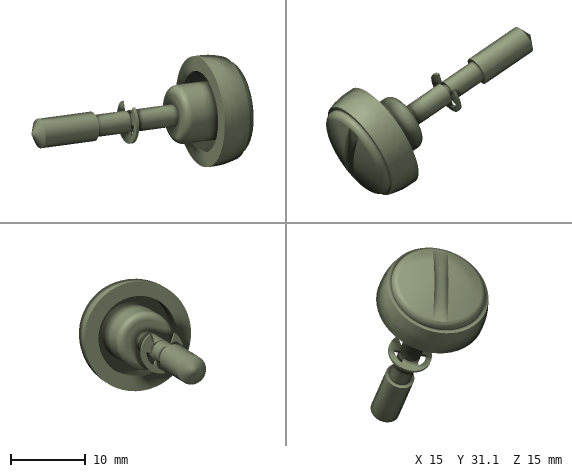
import cadquery as cq
import math

OVERALL_LENGTH = 31.13

RIM_RADIUS = 7.5
RIM_WIDTH = 1.0
SKIRT_TOP_Y = 4.0
SKIRT_SAG = 0.5
CAP_RADIUS = 6.5
CAP_EDGE_RADIUS = 1.0
DOME_RADIUS = 20.0
KNOB_TOP_Y = 5.98
SLOT_WIDTH = 2.0
SLOT_DEPTH = 0.9
RECESS_RADIUS = 5.5
RECESS_DEPTH = 3.5

BOSS_RADIUS = 4.0
BOSS_LENGTH = 4.0
BOSS_EDGE_RADIUS = 1.0
SHANK_RADIUS = 1.5
PIN_RADIUS = 2.0
PIN_START_Y = -16.0
PIN_LENGTH = 8.0

CLIP_Y = -10.75
CLIP_THICKNESS = 0.4
CLIP_RADIUS = 3.0
GROOVE_WIDTH = 0.53
GROOVE_RADIUS = 1.1
MOUTH_INNER_HALF_WIDTH = 1.03
MOUTH_OUTER_HALF_WIDTH = 1.75
WINDOW_RADIUS = 2.2
PRONG_ROOT_HALF_WIDTH = 1.18
PRONG_TIP_HALF_WIDTH = 0.75


def cylinder(radius, y_start, y_end):
    """Cylinder on the Y axis between two Y positions."""
    base = cq.Vector(0, y_start, 0)
    return cq.Workplane(cq.Solid.makeCylinder(radius, y_end - y_start, base, cq.Vector(0, 1, 0)))


def box(x_range, y_range, z_range):
    """Axis-aligned box from three (low, high) pairs."""
    size = [high - low for low, high in (x_range, y_range, z_range)]
    return cq.Workplane(cq.Solid.makeBox(*size, cq.Vector(x_range[0], y_range[0], z_range[0])))


def screw_blank():
    """Revolved knob, boss, shank and pointed pin, before any cuts."""
    slot_sag = DOME_RADIUS - math.sqrt(DOME_RADIUS**2 - (SLOT_WIDTH / 2) ** 2)
    dome_center_y = KNOB_TOP_Y + slot_sag - DOME_RADIUS

    edge_center_r = CAP_RADIUS - CAP_EDGE_RADIUS
    edge_angle = math.asin(edge_center_r / (DOME_RADIUS - CAP_EDGE_RADIUS))
    edge_center_y = dome_center_y + (DOME_RADIUS - CAP_EDGE_RADIUS) * math.cos(edge_angle)

    def on_dome(angle):
        return (DOME_RADIUS * math.sin(angle), dome_center_y + DOME_RADIUS * math.cos(angle))

    edge_mid_angle = (edge_angle + math.pi / 2) / 2
    edge_mid = (
        edge_center_r + CAP_EDGE_RADIUS * math.sin(edge_mid_angle),
        edge_center_y + CAP_EDGE_RADIUS * math.cos(edge_mid_angle),
    )

    tip_y = KNOB_TOP_Y - OVERALL_LENGTH
    pin_end_y = PIN_START_Y - PIN_LENGTH
    profile = (
        cq.Workplane("XY")
        .moveTo(0, tip_y)
        .lineTo(PIN_RADIUS, pin_end_y)
        .lineTo(PIN_RADIUS, PIN_START_Y)
        .lineTo(SHANK_RADIUS, PIN_START_Y)
        .lineTo(SHANK_RADIUS, -BOSS_LENGTH)
        .lineTo(BOSS_RADIUS - BOSS_EDGE_RADIUS, -BOSS_LENGTH)
        .tangentArcPoint((BOSS_RADIUS, BOSS_EDGE_RADIUS - BOSS_LENGTH), relative=False)
        .lineTo(BOSS_RADIUS, 0)
        .lineTo(RIM_RADIUS, 0)
        .lineTo(RIM_RADIUS, RIM_WIDTH)
        .tangentArcPoint((RIM_RADIUS - SKIRT_SAG, SKIRT_TOP_Y), relative=False)
        .lineTo(CAP_RADIUS, SKIRT_TOP_Y)
        .lineTo(CAP_RADIUS, edge_center_y)
        .threePointArc(edge_mid, on_dome(edge_angle))
        .threePointArc(on_dome(edge_angle / 2), on_dome(0))
        .close()
    )
    return profile.revolve(360, (0, 0, 0), (0, 1, 0))


def driver_slot():
    """Straight slot across the dome, running along Z."""
    return box(
        (-SLOT_WIDTH / 2, SLOT_WIDTH / 2),
        (KNOB_TOP_Y - SLOT_DEPTH, KNOB_TOP_Y + SLOT_DEPTH),
        (-RIM_RADIUS, RIM_RADIUS),
    )


def knob_recess():
    """Ring-shaped recess between the rim and the boss."""
    return cylinder(RECESS_RADIUS, 0, RECESS_DEPTH).cut(cylinder(BOSS_RADIUS, 0, RECESS_DEPTH))


def clip_groove():
    """Ring cut from the shank where the clip snaps in."""
    y_range = (CLIP_Y - GROOVE_WIDTH / 2, CLIP_Y + GROOVE_WIDTH / 2)
    return cylinder(SHANK_RADIUS, *y_range).cut(cylinder(GROOVE_RADIUS, *y_range))


def make_screw():
    """Captive thumb screw in one piece with its knob."""
    return screw_blank().cut(driver_slot()).cut(knob_recess()).cut(clip_groove())


def make_clip():
    """E-shaped retaining clip, open toward +Z, with three prongs on the groove."""
    y_range = (CLIP_Y - CLIP_THICKNESS / 2, CLIP_Y + CLIP_THICKNESS / 2)
    disc = cylinder(CLIP_RADIUS, *y_range)
    bore = cylinder(GROOVE_RADIUS, *y_range)

    mouth_inner_z = math.sqrt(GROOVE_RADIUS**2 - MOUTH_INNER_HALF_WIDTH**2)
    mouth_outer_z = math.sqrt(CLIP_RADIUS**2 - MOUTH_OUTER_HALF_WIDTH**2)
    mouth = (
        cq.Workplane("XZ", origin=(0, y_range[1], 0))
        .moveTo(-MOUTH_INNER_HALF_WIDTH, 0)
        .lineTo(-MOUTH_INNER_HALF_WIDTH, mouth_inner_z)
        .lineTo(-MOUTH_OUTER_HALF_WIDTH, mouth_outer_z)
        .lineTo(-MOUTH_OUTER_HALF_WIDTH, CLIP_RADIUS)
        .lineTo(MOUTH_OUTER_HALF_WIDTH, CLIP_RADIUS)
        .lineTo(MOUTH_OUTER_HALF_WIDTH, mouth_outer_z)
        .lineTo(MOUTH_INNER_HALF_WIDTH, mouth_inner_z)
        .lineTo(MOUTH_INNER_HALF_WIDTH, 0)
        .close()
        .extrude(CLIP_THICKNESS)
    )

    lower_half = box((-WINDOW_RADIUS, WINDOW_RADIUS), y_range, (-WINDOW_RADIUS, 0))
    root_z = -math.sqrt(WINDOW_RADIUS**2 - PRONG_ROOT_HALF_WIDTH**2)
    tip_z = -math.sqrt(GROOVE_RADIUS**2 - PRONG_TIP_HALF_WIDTH**2)
    prong = (
        cq.Workplane("XZ", origin=(0, y_range[1], 0))
        .moveTo(-PRONG_TIP_HALF_WIDTH, tip_z)
        .lineTo(-PRONG_ROOT_HALF_WIDTH, root_z)
        .lineTo(-PRONG_ROOT_HALF_WIDTH, -WINDOW_RADIUS)
        .lineTo(PRONG_ROOT_HALF_WIDTH, -WINDOW_RADIUS)
        .lineTo(PRONG_ROOT_HALF_WIDTH, root_z)
        .lineTo(PRONG_TIP_HALF_WIDTH, tip_z)
        .close()
        .extrude(CLIP_THICKNESS)
    )
    windows = cylinder(WINDOW_RADIUS, *y_range).intersect(lower_half).cut(bore).cut(prong)

    return disc.cut(bore).cut(mouth).cut(windows)


screw = make_screw()
clip = make_clip()
result = cq.Compound.makeCompound([screw.val(), clip.val()])